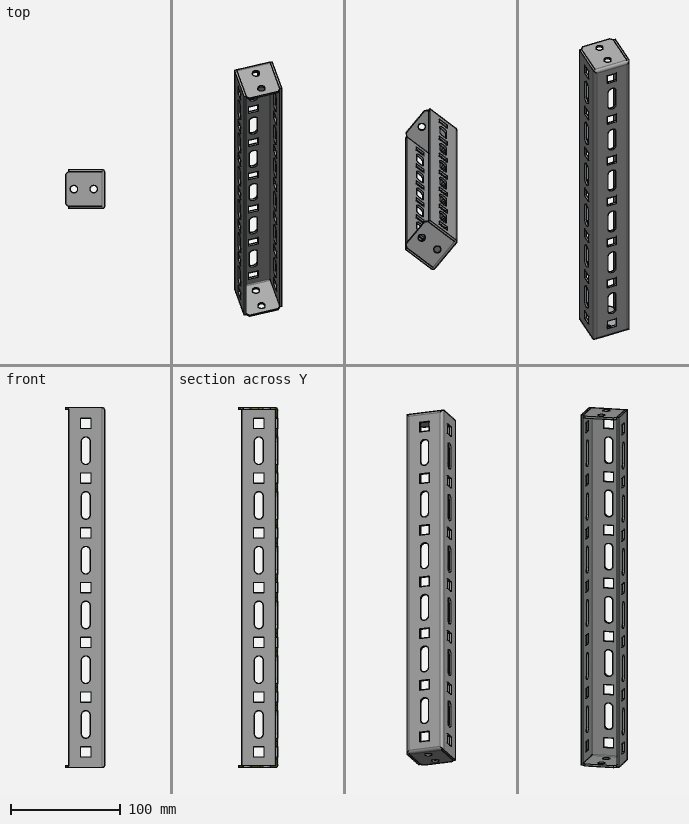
import cadquery as cq

width = 36.0
depth = 36.0
height = 329.0

thickness = 2.0
bend_inner = 0.82
bend_outer = bend_inner + thickness

side_wall_setback = 2.8
plate_gap = 0.15
plate_corner_chamfer = 2.3

pitch = 50.0
square_count = 7
square_size = 9.2
slot_width = 8.0
slot_length = 25.0
side_wall_row_x = 0.5

plate_hole_diameter = 6.5
plate_hole_spacing = 18.0
plate_hole_centre_x = -1.3

open_x = -width / 2
inner_half_depth = depth / 2 - thickness
slot_count = square_count - 1


def folded_envelope(inset, radius):
    """Box inset from all outer faces except the open end, rounded around its +X face."""
    length = width - inset
    return (
        cq.Workplane("XY")
        .box(length, depth - 2 * inset, height - 2 * inset)
        .translate((-inset / 2, 0, 0))
        .edges(">X")
        .fillet(radius)
    )


def folded_shell():
    """Back wall with side walls and end plates, open toward -X."""
    return folded_envelope(0, bend_outer).cut(folded_envelope(thickness, bend_inner))


def end_trim():
    """Material removed to set back the side walls and part them from the end plates."""
    wall_band = thickness + plate_gap
    setback = cq.Workplane("XY").box(side_wall_setback, wall_band, height)
    setback_x = open_x + side_wall_setback / 2
    setback_y = (depth - wall_band) / 2

    slit_length = width - bend_outer
    slit = cq.Workplane("XY").box(slit_length, plate_gap, thickness)
    slit_x = open_x + slit_length / 2
    slit_y = inner_half_depth - plate_gap / 2
    slit_z = (height - thickness) / 2

    trim = cq.Workplane("XY")
    for side in (-1, 1):
        trim = trim.add(setback.translate((setback_x, side * setback_y, 0)))
        for end in (-1, 1):
            trim = trim.add(slit.translate((slit_x, side * slit_y, end * slit_z)))
    return trim.combine()


def perforation(plane):
    """Alternating square holes and slots as cutters running through the whole section."""
    squares = (
        cq.Workplane(plane)
        .rarray(3.3, pitch, 1, square_count)
        .rect(square_size, square_size)
        .extrude(width, both=True)
    )
    slots = (
        cq.Workplane(plane)
        .rarray(3.3, pitch, 1, slot_count)
        .slot2D(slot_length, slot_width, 90)
        .extrude(width, both=True)
    )
    return squares.union(slots)


def plate_holes():
    """Pair of round holes through both end plates."""
    return (
        cq.Workplane("XY")
        .center(plate_hole_centre_x, 0)
        .rarray(plate_hole_spacing, 3.3, 2, 1)
        .circle(plate_hole_diameter / 2)
        .extrude(height, both=True)
    )


result = (
    folded_shell()
    .cut(end_trim())
    .edges("|Z and <X")
    .chamfer(plate_corner_chamfer)
    .cut(perforation("XZ").translate((side_wall_row_x, 0, 0)))
    .cut(perforation("YZ"))
    .cut(plate_holes())
)